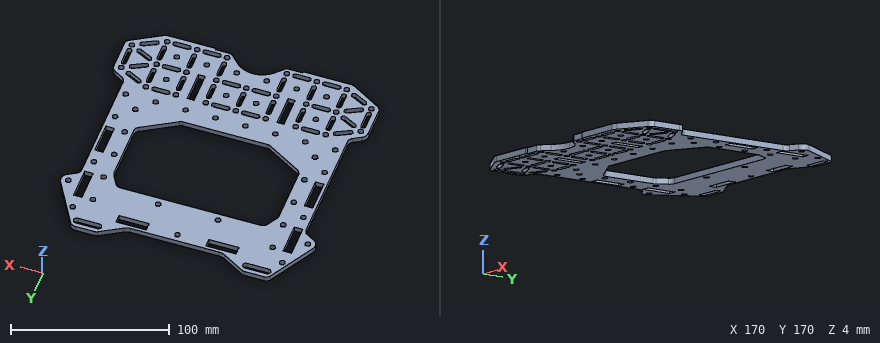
import cadquery as cq
import math

THICKNESS = 4.0
HALF_SPAN = 85.0
GRID = 10.0
SHALLOW = math.tan(math.radians(30))
STEEP = math.tan(math.radians(60))

CORNER_RADIUS = 4.0
EAR_RADIUS = 5.0
WIDE_RADIUS = 8.0
CORNER_REACH = 0.1

WAIST_X = 75.0
REAR_EDGE_Y = 75.0
EAR_HOLE = (80.0, 50.0)
EAR_TIP_ANGLE = math.radians(-15)
EAR_INNER_X = 49.0
FOOT_X = 62.5

RECESS_X = 29.5
RECESS_RUN = 0.5
RECESS_DEPTH = 1.0
NOTCH_RADIUS = 17.5
NOTCH_TOP_Y = -72.9

WINDOW_X = 55.0
WINDOW_REAR_Y = 45.0
WINDOW_FRONT_Y = -20.0
WINDOW_REAR_CORNER_X = 49.3
WINDOW_FRONT_CORNER_X = 29.3

HOLE_DIAMETER = 3.5
SMALL_HOLE_DIAMETER = 3.4
SLOT_WIDTH = 3.0
LINK_LENGTH = 12.0
DIAGONAL_LENGTH = 12.2
SIDE_LENGTH = 13.6
EAR_SLOT_LENGTH = 18.5
EAR_SLOT_WIDTH = 4.0
EAR_SLOT_CENTRE = (56.5, 80.0)

STRAP_LENGTH = 21.0
STRAP_WIDTH = 5.5
REAR_STRAP_LENGTH = 20.0
FRONT_STRAP_WIDTH = 4.5


def mirrored(points):
    """Copy points to both sides of the YZ plane, keeping centre points single."""
    both = []
    for x, y in points:
        both.append((x, y))
        if x != 0:
            both.append((-x, y))
    return both


def grid_pairs(cells):
    """Positions of grid cells (column, row) on both sides of the plate."""
    return mirrored([(column * GRID, row * GRID) for column, row in cells])


def symmetric_prism(right_side):
    """Extrude an outline given by its +X half, listed from rear to front."""
    left_side = [(-x, y) for x, y in reversed(right_side)]
    return cq.Workplane("XY").polyline(right_side + left_side).close().extrude(THICKNESS)


def round_corner(body, corner, radius):
    """Fillet the vertical edges at a corner and at its mirror image."""
    for x, y in mirrored([corner]):
        box = cq.selectors.BoxSelector(
            (x - CORNER_REACH, y - CORNER_REACH, 0),
            (x + CORNER_REACH, y + CORNER_REACH, THICKNESS),
        )
        body = body.edges("|Z").edges(box).fillet(radius)
    return body


def make_plate():
    """Plate with two ears at the rear, two feet at the front and a shallow front recess."""
    tip_distance = EAR_RADIUS * math.sqrt(2)
    tip_x = EAR_HOLE[0] + tip_distance * math.cos(EAR_TIP_ANGLE)
    tip_y = EAR_HOLE[1] + tip_distance * math.sin(EAR_TIP_ANGLE)
    ear_root = (EAR_INNER_X - (HALF_SPAN - REAR_EDGE_Y) / SHALLOW, REAR_EDGE_Y)
    ear_inner = (EAR_INNER_X, HALF_SPAN)
    ear_outer = (tip_x - (HALF_SPAN - tip_y) / STEEP, HALF_SPAN)
    ear_tip = (tip_x, tip_y)

    waist_y = tip_y - (tip_x - WAIST_X) * SHALLOW
    rear_waist = (WAIST_X, waist_y)
    front_waist = (WAIST_X, -waist_y)

    foot_rear = (HALF_SPAN, -waist_y - (HALF_SPAN - WAIST_X) * SHALLOW)
    foot_outer = (HALF_SPAN, -HALF_SPAN + (HALF_SPAN - FOOT_X) * SHALLOW)
    foot_front = (FOOT_X, -HALF_SPAN)
    recess_start = (RECESS_X, -HALF_SPAN)
    recess_end = (RECESS_X - RECESS_RUN, -HALF_SPAN + RECESS_DEPTH)

    plate = symmetric_prism([
        ear_root, ear_inner, ear_outer, ear_tip, rear_waist, front_waist,
        foot_rear, foot_outer, foot_front, recess_start, recess_end,
    ])
    rounded_corners = [
        (ear_root, WIDE_RADIUS),
        (ear_inner, CORNER_RADIUS),
        (ear_outer, CORNER_RADIUS),
        (ear_tip, EAR_RADIUS),
        (rear_waist, CORNER_RADIUS),
        (front_waist, CORNER_RADIUS),
        (foot_rear, EAR_RADIUS),
        (foot_outer, CORNER_RADIUS),
        (foot_front, WIDE_RADIUS),
    ]
    for corner, radius in rounded_corners:
        plate = round_corner(plate, corner, radius)
    return plate


def cut_notch(plate):
    """Cut the arched notch, whose arc runs out into 45 degree flanks."""
    mouth_y = -HALF_SPAN + RECESS_DEPTH
    tangent_x = NOTCH_RADIUS / math.sqrt(2)
    tangent_y = NOTCH_TOP_Y - NOTCH_RADIUS + tangent_x
    mouth_x = tangent_x + tangent_y - mouth_y
    notch = (
        cq.Workplane("XY")
        .moveTo(mouth_x, mouth_y)
        .lineTo(tangent_x, tangent_y)
        .threePointArc((0, NOTCH_TOP_Y), (-tangent_x, tangent_y))
        .lineTo(-mouth_x, mouth_y)
        .close()
        .extrude(THICKNESS)
    )
    return round_corner(plate.cut(notch), (mouth_x, mouth_y), CORNER_RADIUS)


def cut_window(plate):
    """Cut the large six-cornered opening with its slanted corners."""
    side_rear_y = WINDOW_REAR_Y - (WINDOW_X - WINDOW_REAR_CORNER_X) * STEEP
    side_front_y = WINDOW_FRONT_Y + (WINDOW_X - WINDOW_FRONT_CORNER_X) * SHALLOW
    window = symmetric_prism([
        (WINDOW_REAR_CORNER_X, WINDOW_REAR_Y),
        (WINDOW_X, side_rear_y),
        (WINDOW_X, side_front_y),
        (WINDOW_FRONT_CORNER_X, WINDOW_FRONT_Y),
    ])
    return plate.cut(window.edges("|Z").fillet(CORNER_RADIUS))


def cut_round_holes(plate, points, diameter):
    holes = cq.Workplane("XY").pushPoints(points).circle(diameter / 2).extrude(THICKNESS)
    return plate.cut(holes)


def cut_slots(plate, points, length, width, angle):
    slots = cq.Workplane("XY").pushPoints(points).slot2D(length, width, angle).extrude(THICKNESS)
    return plate.cut(slots)


def cut_rectangles(plate, points, size_x, size_y):
    openings = cq.Workplane("XY").pushPoints(points).rect(size_x, size_y).extrude(THICKNESS)
    return plate.cut(openings)


def cut_holes(plate):
    """Cut all round holes, given as grid cells of the +X half."""
    frame = [(2, 5), (7, 7), (8, 5), (7, 3)]
    frame += [(6, row) for row in (6, 4, 2, 0, -2)]
    crossbar = [(column, -3) for column in (1, 5, 7)]
    lattice = [(column, row) for row in (-4, -6, -8) for column in (2, 4, 6)]
    lattice += [(0, -4), (0, -6)]
    between = [(column, row) for row in (-5, -7) for column in (1, 5, 8)]
    plate = cut_round_holes(plate, grid_pairs(frame + crossbar + lattice + between), HOLE_DIAMETER)

    small = [(0, 7), (7, -1), (3, -3), (3, -7)]
    return cut_round_holes(plate, grid_pairs(small), SMALL_HOLE_DIAMETER)


def cut_lattice_slots(plate):
    """Cut the slots that link neighbouring holes of the front lattice."""
    across = [(1, -4), (5, -4), (1, -6), (5, -6), (3, -8), (5, -8)]
    along = [(column, -5) for column in (0, 2, 4, 6)]
    along += [(column, -7) for column in (2, 4, 6)]
    plate = cut_slots(plate, grid_pairs(across), LINK_LENGTH, SLOT_WIDTH, 0)
    return cut_slots(plate, grid_pairs(along), LINK_LENGTH, SLOT_WIDTH, 90)


def cut_foot_slots(plate):
    """Cut the side slot and the zigzag of slanted slots in each foot."""
    plate = cut_slots(plate, grid_pairs([(8, -6)]), SIDE_LENGTH, SLOT_WIDTH, 90)
    lean = math.degrees(math.atan2(1, 2))
    rising_rows = (-5.5, -7.5)
    falling_rows = (-4.5, -6.5)
    for side in (1, -1):
        column_x = side * 7 * GRID
        rising = [(column_x, row * GRID) for row in rising_rows]
        falling = [(column_x, row * GRID) for row in falling_rows]
        plate = cut_slots(plate, rising, DIAGONAL_LENGTH, SLOT_WIDTH, side * lean)
        plate = cut_slots(plate, falling, DIAGONAL_LENGTH, SLOT_WIDTH, -side * lean)
    return plate


def cut_ear_slots(plate):
    return cut_slots(plate, mirrored([EAR_SLOT_CENTRE]), EAR_SLOT_LENGTH, EAR_SLOT_WIDTH, 0)


def cut_strap_openings(plate):
    """Cut the rectangular openings along the sides, at the rear and in the lattice."""
    plate = cut_rectangles(plate, grid_pairs([(7, 5), (7, 1)]), STRAP_WIDTH, STRAP_LENGTH)
    plate = cut_rectangles(plate, grid_pairs([(3, 7)]), REAR_STRAP_LENGTH, STRAP_WIDTH)
    return cut_rectangles(plate, grid_pairs([(3, -5)]), FRONT_STRAP_WIDTH, STRAP_LENGTH)


result = make_plate()
result = cut_notch(result)
result = cut_window(result)
result = cut_holes(result)
result = cut_lattice_slots(result)
result = cut_foot_slots(result)
result = cut_ear_slots(result)
result = cut_strap_openings(result)